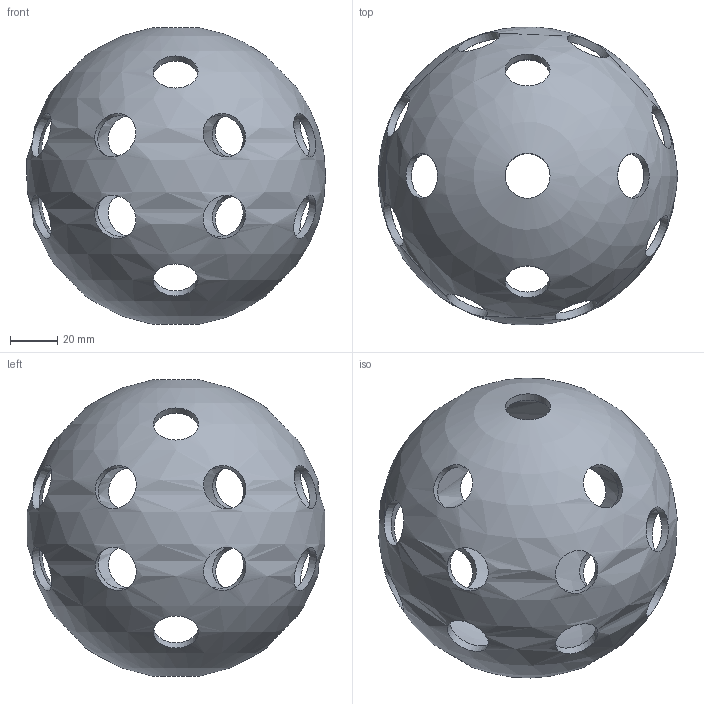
import cadquery as cq

outer_diameter = 127.0
wall_thickness = 3.175
hole_diameter = 19.05

upper_ring_latitude = 44.5
upper_ring_count = 4
upper_ring_azimuth = 0.0
middle_ring_latitude = 16.0
middle_ring_count = 8
middle_ring_azimuth = 20.0

outer_radius = outer_diameter / 2
inner_radius = outer_radius - wall_thickness
drill_overrun = 6.0
drill_length = outer_radius + drill_overrun


def radial_drill(latitude, azimuth):
    """Cylinder from the ball's centre outward along the given direction, in degrees."""
    drill = cq.Workplane("XY").circle(hole_diameter / 2).extrude(drill_length)
    drill = drill.rotate((0, 0, 0), (0, 1, 0), 90 - latitude)
    return drill.rotate((0, 0, 0), (0, 0, 1), azimuth)


def cut_ring(body, latitude, count, first_azimuth):
    """Cut evenly spaced radial holes on one circle of latitude."""
    for index in range(count):
        azimuth = first_azimuth + index * 360 / count
        body = body.cut(radial_drill(latitude, azimuth))
    return body


def cut_pole_holes(body):
    """Cut one hole straight through both poles along Z."""
    pole_drill = cq.Workplane("XY").circle(hole_diameter / 2).extrude(drill_length, both=True)
    return body.cut(pole_drill)


ball = cq.Workplane("XY").sphere(outer_radius)
ball = ball.cut(cq.Workplane("XY").sphere(inner_radius))
ball = cut_pole_holes(ball)
for side in (1, -1):
    ball = cut_ring(ball, side * upper_ring_latitude, upper_ring_count, upper_ring_azimuth)
    ball = cut_ring(ball, side * middle_ring_latitude, middle_ring_count, middle_ring_azimuth)

result = ball